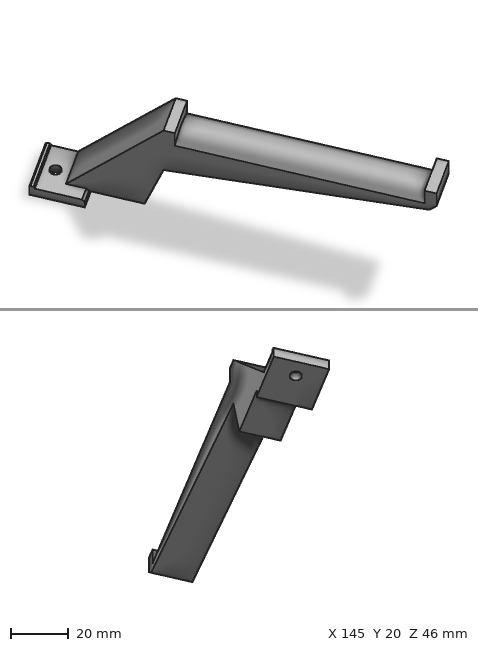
import cadquery as cq

length = 145.0
height = 46.0

plate_side = 20.0
plate_thickness = 4.0
plate_edge_size = 1.0
lip_width = 2.0
lip_height = 0.9
lip_chamfer = 0.51
hole_diameter = 4.2
hole_x = 6.5

arm_width = 15.0
arm_base_z = plate_thickness - plate_edge_size
arm_heel_x = 11.7
arm_toe_x = 40.0
elbow_x = 46.8
elbow_z = 24.0
wall_inner_x = 50.9
tip_thickness = 4.4
tip_bevel_run = 2.6
tip_bevel_drop = 3.0
saddle_depth = 7.0
crown_rise = 2.2

lip_top_z = plate_thickness + lip_height
saddle_z = height - saddle_depth
tip_inner_x = length - tip_thickness


def extrude_back_to_front(outline, width):
    """Extrude an XZ outline from the back face (y = 0) toward -Y."""
    return outline.close().extrude(width)


def make_plate():
    """Plate with a chamfered lip along its outer edge and a bevelled inner edge."""
    outline = (
        cq.Workplane("XZ")
        .lineTo(plate_side, 0)
        .lineTo(plate_side, plate_thickness - plate_edge_size)
        .lineTo(plate_side - plate_edge_size, plate_thickness)
        .lineTo(lip_width, plate_thickness)
        .lineTo(lip_width, lip_top_z - lip_chamfer)
        .lineTo(lip_width - lip_chamfer, lip_top_z)
        .lineTo(lip_chamfer, lip_top_z)
        .lineTo(0, lip_top_z - lip_chamfer)
    )
    return extrude_back_to_front(outline, plate_side)


def make_arm():
    """Sloping leg and tapered beam, with an upright wall at each end of the saddle."""
    outline = (
        cq.Workplane("XZ")
        .moveTo(arm_heel_x, arm_base_z)
        .lineTo(arm_toe_x, arm_base_z)
        .lineTo(elbow_x, elbow_z)
        .lineTo(length - tip_bevel_run, saddle_z - tip_bevel_drop)
        .lineTo(length, saddle_z)
        .lineTo(length, height)
        .lineTo(tip_inner_x, height)
        .lineTo(tip_inner_x, saddle_z)
        .lineTo(wall_inner_x, saddle_z)
        .lineTo(wall_inner_x, height)
        .lineTo(elbow_x, height)
        .lineTo(arm_heel_x, plate_thickness)
    )
    return extrude_back_to_front(outline, arm_width)


def make_crown():
    """Convex saddle surface between the two upright walls."""
    return (
        cq.Workplane("YZ", origin=(wall_inner_x, 0, 0))
        .moveTo(-arm_width, saddle_z)
        .threePointArc((-arm_width / 2, saddle_z + crown_rise), (0, saddle_z))
        .close()
        .extrude(tip_inner_x - wall_inner_x)
    )


def make_hole():
    """Screw hole through the plate, halfway across its width."""
    return (
        cq.Workplane("XY")
        .center(hole_x, -plate_side / 2)
        .circle(hole_diameter / 2)
        .extrude(plate_thickness)
    )


result = make_plate().union(make_arm()).union(make_crown()).cut(make_hole())